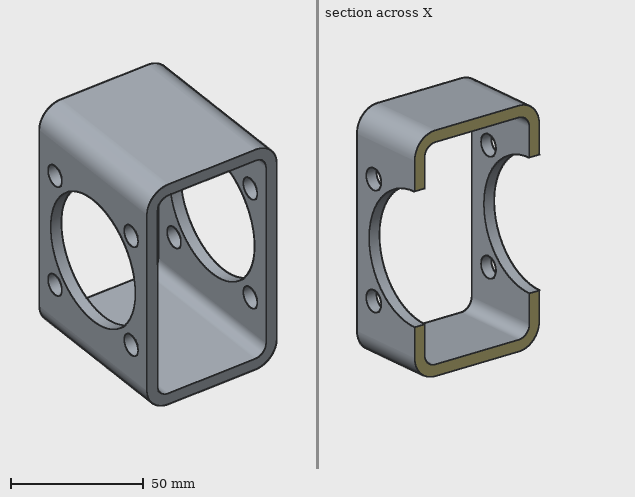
import cadquery as cq
import math

length = 70.0
width = 60.0
height = 100.0
wall = 5.0
outer_radius = 10.0
inner_radius = outer_radius - wall

bore_diameter = 55.0
bolt_hole_diameter = 9.0
bolt_circle_diameter = 70.0
bolt_spacing = bolt_circle_diameter / math.sqrt(2)


def rounded_bar(bar_width, bar_height, corner_radius):
    """Solid bar along X with rounded long edges, centred on the origin."""
    return cq.Workplane("XY").box(length, bar_width, bar_height).edges("|X").fillet(corner_radius)


def make_tube():
    """Hollow section with concentric inner and outer corners."""
    outside = rounded_bar(width, height, outer_radius)
    inside = rounded_bar(width - 2 * wall, height - 2 * wall, inner_radius)
    return outside.cut(inside)


def make_openings():
    """Central bore and four bolt holes, long enough to cross both walls."""
    bore = cq.Workplane("XZ").circle(bore_diameter / 2).extrude(width / 2, both=True)
    bolt_holes = (
        cq.Workplane("XZ")
        .rect(bolt_spacing, bolt_spacing, forConstruction=True)
        .vertices()
        .circle(bolt_hole_diameter / 2)
        .extrude(width / 2, both=True)
    )
    return bore, bolt_holes


result = make_tube()
for opening in make_openings():
    result = result.cut(opening)